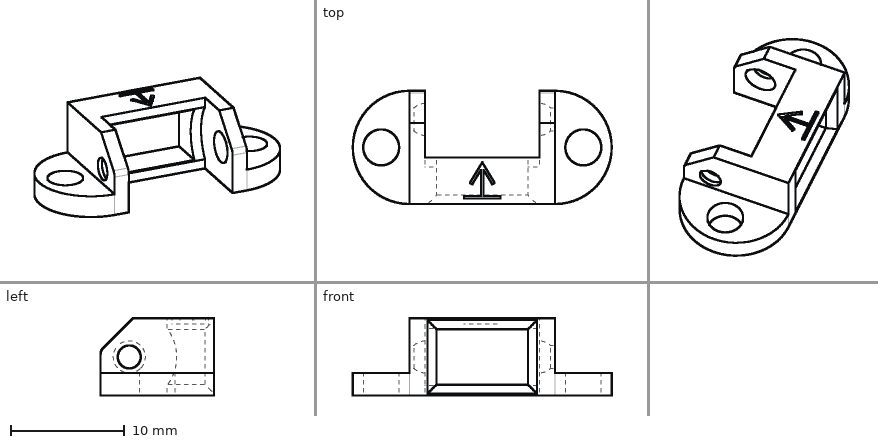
import cadquery as cq
import math

length = 22.75
width = 9.97
plate_height = 2.0
end_radius = width / 2
end_center_x = length / 2 - end_radius
screw_hole_diameter = 3.15
screw_hole_x = 8.88

frame_height = 6.8
frame_half_width = end_center_x
arm_gap = 10.01
bar_back_y = -0.86
arm_bevel = 2.85
arm_nose_radius = 0.75

window_width = 8.01
window_height = 4.85
window_flare = 0.8

hinge_y = 2.45
hinge_z = frame_height / 2
pin_hole_diameter = 2.0
socket_diameter = 2.82
swing_radius = 4.17

engraving_depth = 0.5
stroke = 0.25
arrow_base_width = 3.19
arrow_base_y = -4.37
arrow_tip_y = -1.3
arrow_arm_length = 2.12
arrow_half_angle = 31.0


def base_plate():
    plate = cq.Workplane("XY").slot2D(length, width).extrude(plate_height)
    holes = (
        cq.Workplane("XY")
        .pushPoints([(-screw_hole_x, 0), (screw_hole_x, 0)])
        .circle(screw_hole_diameter / 2)
        .extrude(plate_height)
    )
    return plate.cut(holes)


def frame_block():
    """Block with the upper back corner bevelled and the bevel's lower end rounded."""
    half_width = width / 2
    bevel_low_z = frame_height - arm_bevel
    block = (
        cq.Workplane("YZ", origin=(-frame_half_width, 0, 0))
        .moveTo(-half_width, 0)
        .lineTo(half_width, 0)
        .lineTo(half_width, bevel_low_z)
        .lineTo(half_width - arm_bevel, frame_height)
        .lineTo(-half_width, frame_height)
        .close()
        .extrude(2 * frame_half_width)
    )
    nose = cq.selectors.NearestToPointSelector((0, half_width, bevel_low_z))
    return block.edges("|X").edges(nose).fillet(arm_nose_radius)


def arm_gap_cut():
    """Open gap between the arms, with round swing clearance about the hinge axis."""
    gap_length = width / 2 - bar_back_y
    gap = cq.Workplane("XY").box(arm_gap, gap_length, frame_height, centered=(True, False, False))
    swing = (
        cq.Workplane("YZ", origin=(-arm_gap / 2, hinge_y, hinge_z))
        .circle(swing_radius)
        .extrude(arm_gap)
    )
    return gap.translate((0, bar_back_y, 0)).union(swing)


def window_cut():
    """Rectangular window that flares at 45 degrees toward the front face."""
    front = cq.Workplane("XZ", origin=(0, -width / 2, hinge_z))
    opening = front.rect(window_width, window_height).extrude(-width / 2)
    flare = (
        front.rect(window_width + 2 * window_flare, window_height + 2 * window_flare)
        .workplane(offset=-window_flare)
        .rect(window_width, window_height)
        .loft(ruled=True)
    )
    return opening.union(flare)


def hinge_cut():
    """Pin hole and half-ball socket in each arm, revolved about the hinge axis."""
    pin_radius = pin_hole_diameter / 2
    ball_radius = socket_diameter / 2
    inner_x = arm_gap / 2
    step_x = inner_x + math.sqrt(ball_radius**2 - pin_radius**2)
    mid_angle = math.radians(70)
    ball_mid = (inner_x + ball_radius * math.cos(mid_angle), ball_radius * math.sin(mid_angle))
    right_cut = (
        cq.Workplane("XY")
        .moveTo(inner_x, 0)
        .lineTo(inner_x, ball_radius)
        .threePointArc(ball_mid, (step_x, pin_radius))
        .lineTo(frame_half_width, pin_radius)
        .lineTo(frame_half_width, 0)
        .close()
        .revolve(360, (0, 0, 0), (1, 0, 0))
        .translate((0, hinge_y, hinge_z))
    )
    return right_cut.union(right_cut.mirror("YZ"))


def arrow_cut():
    floor = cq.Workplane("XY", origin=(0, 0, frame_height - engraving_depth))
    half_angle = math.radians(arrow_half_angle)
    end_x = arrow_arm_length * math.sin(half_angle)
    end_y = arrow_tip_y - arrow_arm_length * math.cos(half_angle)
    inset_x = stroke * math.cos(half_angle)
    inset_y = stroke * math.sin(half_angle)
    notch_y = arrow_tip_y - stroke / math.sin(half_angle)
    head = (
        floor.moveTo(0, arrow_tip_y)
        .lineTo(end_x, end_y)
        .lineTo(end_x - inset_x, end_y - inset_y)
        .lineTo(0, notch_y)
        .lineTo(inset_x - end_x, end_y - inset_y)
        .lineTo(-end_x, end_y)
        .close()
        .extrude(engraving_depth)
    )
    shaft_length = arrow_tip_y - stroke - arrow_base_y
    shaft = (
        floor.center(0, arrow_base_y + shaft_length / 2)
        .rect(stroke, shaft_length)
        .extrude(engraving_depth)
    )
    base = floor.center(0, arrow_base_y).rect(arrow_base_width, stroke).extrude(engraving_depth)
    return head.union(shaft).union(base)


result = (
    base_plate()
    .union(frame_block())
    .cut(arm_gap_cut())
    .cut(window_cut())
    .cut(hinge_cut())
    .cut(arrow_cut())
)